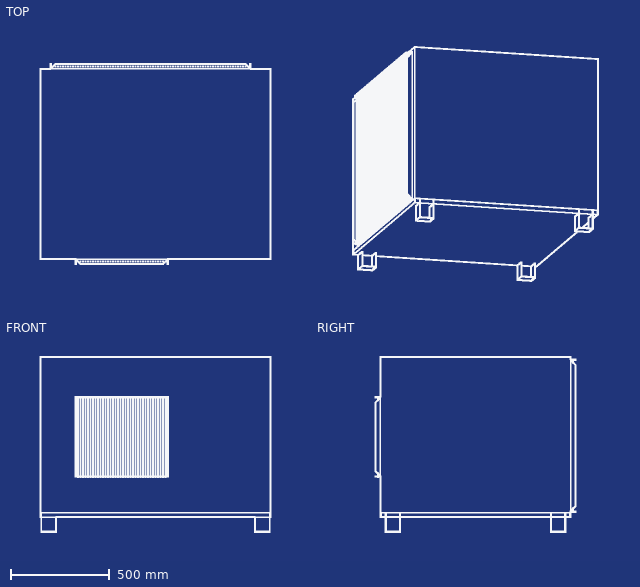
import cadquery as cq

inch = 25.4
cabinet_x = 46 * inch
cabinet_y = 38 * inch
cabinet_height = 32 * inch
sheet = inch / 8

foot_size = 3 * inch
foot_inset_x = sheet
foot_inset_y = inch
cabinet_top = foot_size + cabinet_height

strip_height = inch - sheet
foot_end_projection = 0.3
y_side_strip_depth = 0.5
x_side_strip_depth = foot_inset_x + foot_end_projection
strip_top = foot_size + strip_height

flange_depth = inch
bar_pitch = inch / 2
flange_sheet = inch / 8
bar_diameter = inch / 8
bar_end_projection = 0.1

front_grille = (-16 * inch, 2.5 * inch, 11 * inch, 27 * inch)
rear_grille = (-21 * inch, 19 * inch, 4 * inch, 34.5 * inch)


def block(x_min, x_max, y_min, y_max, z_min, z_max):
    """Axis-aligned box given by its limits."""
    size = (x_max - x_min, y_max - y_min, z_max - z_min)
    return cq.Workplane("XY").box(*size, centered=False).translate((x_min, y_min, z_min))


def make_cabinet():
    """Plain box with the recessed base strip on all four sides."""
    half_x = cabinet_x / 2
    half_y = cabinet_y / 2
    cabinet = block(-half_x, half_x, -half_y, half_y, foot_size, cabinet_top)

    strip_half_x = half_x - sheet
    strip_half_y = half_y - sheet
    front_floor = -half_y + y_side_strip_depth
    left_floor = -half_x + x_side_strip_depth
    front_strip = block(-strip_half_x, strip_half_x, -half_y, front_floor, foot_size, strip_top)
    left_strip = block(-half_x, left_floor, -strip_half_y, strip_half_y, foot_size, strip_top)
    for strip in (front_strip, front_strip.mirror("XZ"), left_strip, left_strip.mirror("YZ")):
        cabinet = cabinet.cut(strip)
    return cabinet


def make_foot():
    """U-channel at the -X, -Y corner; its walls reach up to the top of the base strip."""
    x_min = -cabinet_x / 2 + foot_inset_x
    y_min = -cabinet_y / 2 + foot_inset_y
    x_max = x_min + foot_size
    y_max = y_min + foot_size
    channel = block(x_min, x_max, y_min, y_max, 0, strip_top)
    return channel.cut(block(x_min, x_max, y_min + sheet, y_max - sheet, sheet, strip_top))


def bevelled_flange(plane, root_length):
    """Flange standing along the plane's local Y, centred on local X, narrowing at 45 degrees."""
    root = root_length / 2
    tip = root - flange_depth
    outline = [(-root, 0), (root, 0), (tip, flange_depth), (-tip, flange_depth)]
    return cq.Workplane(plane).polyline(outline).close().extrude(flange_sheet)


def make_grille(width, height):
    """Grille centred on X and Z, standing from Y = 0 toward +Y."""
    bottom_plane = cq.Plane(origin=(0, 0, -height / 2), xDir=(1, 0, 0), normal=(0, 0, 1))
    left_plane = cq.Plane(origin=(-width / 2, 0, 0), xDir=(0, 0, -1), normal=(1, 0, 0))
    bottom = bevelled_flange(bottom_plane, width)
    left = bevelled_flange(left_plane, height - 2 * flange_sheet)
    grille = bottom.union(bottom.mirror("XY")).union(left).union(left.mirror("YZ"))

    bar_count = round(width / bar_pitch) - 1
    bars = (
        cq.Workplane("XY")
        .workplane(offset=-height / 2 - bar_end_projection)
        .center(0, flange_depth / 2)
        .rarray(bar_pitch, 1, bar_count, 1)
        .circle(bar_diameter / 2)
        .extrude(height + 2 * bar_end_projection)
    )
    return grille.union(bars)


def place_grille(limits, faces_front):
    """Grille filling the given limits on the front (-Y) or rear (+Y) face of the cabinet."""
    x_min, x_max, z_min, z_max = limits
    grille = make_grille(x_max - x_min, z_max - z_min)
    face_y = cabinet_y / 2
    if faces_front:
        grille = grille.mirror("XZ")
        face_y = -face_y
    return grille.translate(((x_min + x_max) / 2, face_y, (z_min + z_max) / 2))


result = make_cabinet()

foot = make_foot()
front_feet = foot.union(foot.mirror("YZ"))
result = result.union(front_feet).union(front_feet.mirror("XZ"))

result = result.union(place_grille(front_grille, faces_front=True))
result = result.union(place_grille(rear_grille, faces_front=False))